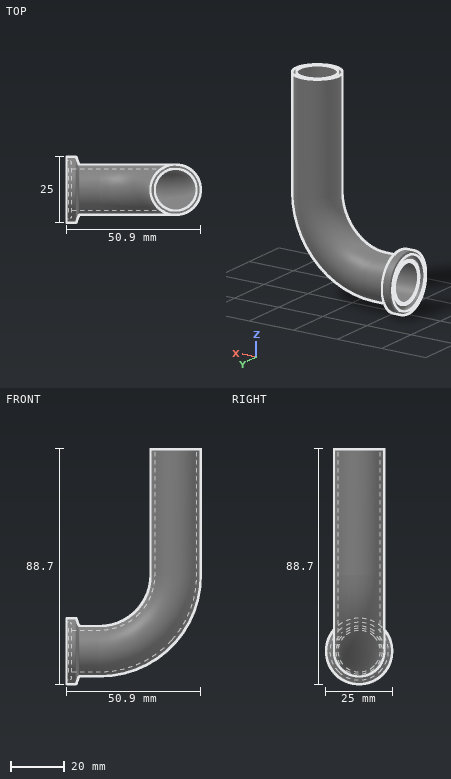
import cadquery as cq
import math

tube_diameter = 19.1
bore_diameter = 15.8
bend_radius = 28.6
inlet_length = 12.7
outlet_height = 76.2

flange_diameter = 25.0
flange_back = 3.7
back_slope = 20
rim_rounding = 0.4
neck_rounding = 0.4

groove_diameter = 21.9
lip_diameter = 17.4
lip_recess = 0.8
lip_slope = 45
lip_flank_width = 0.9

tube_radius = tube_diameter / 2
bore_radius = bore_diameter / 2
flange_radius = flange_diameter / 2
axis_height = flange_radius


def bent_rod(radius):
    """Solid rod along the elbow: inlet leg, quarter bend, upright leg."""
    bend_end_x = inlet_length + bend_radius
    arc_middle = bend_radius * math.sin(math.pi / 4)
    path = (
        cq.Workplane("XZ")
        .moveTo(0, axis_height)
        .lineTo(inlet_length, axis_height)
        .threePointArc(
            (inlet_length + arc_middle, axis_height + bend_radius - arc_middle),
            (bend_end_x, axis_height + bend_radius),
        )
        .lineTo(bend_end_x, axis_height + outlet_height)
    )
    return cq.Workplane("YZ").center(0, axis_height).circle(radius).sweep(path)


def revolve_about_inlet(profile):
    """Revolve a profile drawn as (distance from face, radius) about the inlet axis."""
    return profile.close().revolve(360, (0, 0, 0), (1, 0, 0)).translate((0, 0, axis_height))


def flange():
    """Clamp flange with a sloped back, and the solid neck up to the bend."""
    cone_length = (flange_radius - tube_radius) * math.tan(math.radians(back_slope))
    neck_start = flange_back + cone_length
    body = revolve_about_inlet(
        cq.Workplane("XZ")
        .moveTo(0, 0)
        .lineTo(0, flange_radius)
        .lineTo(flange_back, flange_radius)
        .lineTo(neck_start, tube_radius)
        .lineTo(inlet_length, tube_radius)
        .lineTo(inlet_length, 0)
    )

    neck_edge = cq.selectors.RadiusNthSelector(0)
    rim_edges = cq.selectors.RadiusNthSelector(-1)
    body = body.edges(neck_edge).edges("<X").fillet(neck_rounding)
    return body.edges(rim_edges).fillet(rim_rounding)


def gasket_groove():
    """Straight outer wall, round bottom and sloped flank up to the recessed lip."""
    slope = math.radians(lip_slope)
    groove_radius = groove_diameter / 2
    lip_radius = lip_diameter / 2
    flank_foot_radius = lip_radius + lip_flank_width
    flank_foot_depth = lip_recess + lip_flank_width * math.tan(slope)
    bottom_width = groove_radius - flank_foot_radius
    rounding = bottom_width / (1 + math.sin(slope))
    wall_depth = flank_foot_depth - rounding * math.cos(slope)
    return revolve_about_inlet(
        cq.Workplane("XZ")
        .lineTo(0, groove_radius)
        .lineTo(wall_depth, groove_radius)
        .threePointArc(
            (wall_depth + rounding, groove_radius - rounding),
            (flank_foot_depth, flank_foot_radius),
        )
        .lineTo(lip_recess, lip_radius)
        .lineTo(lip_recess, 0)
    )


result = bent_rod(tube_radius).union(flange()).cut(gasket_groove()).cut(bent_rod(bore_radius))